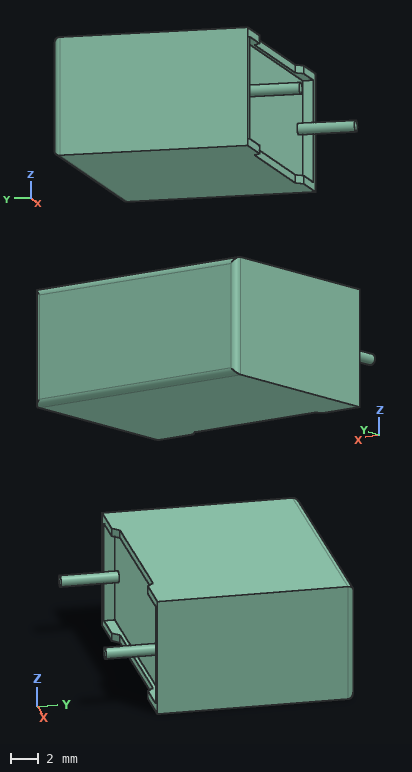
import cadquery as cq


case_width = 18.5
case_depth = 14.6
case_height = 8.71
side_wall = 0.65
broad_wall = 0.6
back_wall = 0.6
back_edge_radius = 0.5

relief_depth = 0.5
foot_width = 3.25

potting_recess = 0.8

lead_diameter = 0.85
lead_pitch = 15.0
lead_length = 3.5

cavity_width = case_width - 2 * side_wall
cavity_height = case_height - 2 * broad_wall
cavity_depth = case_depth - back_wall


def block(width, height, y_start, y_end):
    """Box centred on X and Z that runs from y_start to y_end."""
    return (
        cq.Workplane("XY")
        .box(width, y_end - y_start, height, centered=(True, False, True))
        .translate((0, y_start, 0))
    )


def make_rim_relief():
    """Trapezoidal cutter that passes through both broad walls."""
    mouth_half = case_width / 2 - foot_width
    floor_half = mouth_half - relief_depth
    return (
        cq.Workplane("XY")
        .polyline([
            (-mouth_half, 0),
            (mouth_half, 0),
            (floor_half, relief_depth),
            (-floor_half, relief_depth),
        ])
        .close()
        .extrude(case_height / 2, both=True)
    )


def make_case():
    """Hollow case with rounded back edges and a relieved rim."""
    outside = block(case_width, case_height, 0, case_depth)
    outside = outside.faces(">Y").edges().fillet(back_edge_radius)
    cavity = block(cavity_width, cavity_height, 0, cavity_depth)
    return outside.cut(cavity).cut(make_rim_relief())


def make_potting():
    """Resin that fills the cavity up to its recessed face."""
    return block(cavity_width, cavity_height, potting_recess, cavity_depth)


def make_lead(x):
    """Round lead that stands on the potting face and points towards -Y."""
    return (
        cq.Workplane("XZ", origin=(x, potting_recess, 0))
        .circle(lead_diameter / 2)
        .extrude(potting_recess + lead_length)
    )


case = make_case()
potting = make_potting()
leads = [make_lead(side * lead_pitch / 2) for side in (-1, 1)]

result = cq.Compound.makeCompound([case.val(), potting.val(), *[lead.val() for lead in leads]])